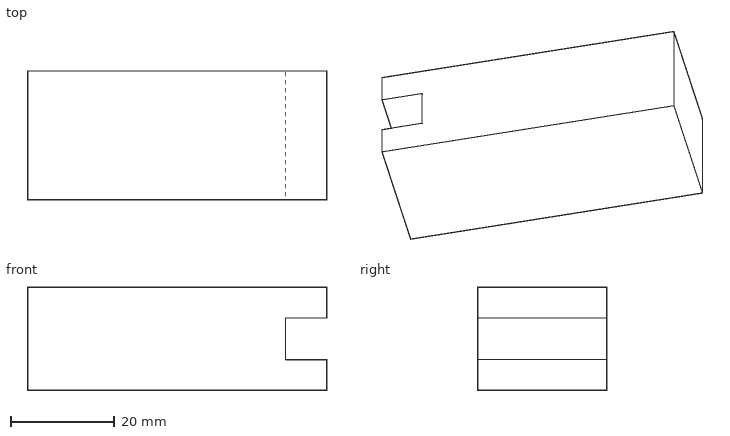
import cadquery as cq

length = 58.0
width = 25.0
height = 20.0

slot_size = 8.0

block = cq.Workplane("XY").box(length, width, height)

slot_center_x = (length - slot_size) / 2
slot = cq.Workplane("XY").box(slot_size, width, slot_size).translate((slot_center_x, 0, 0))

result = block.cut(slot)